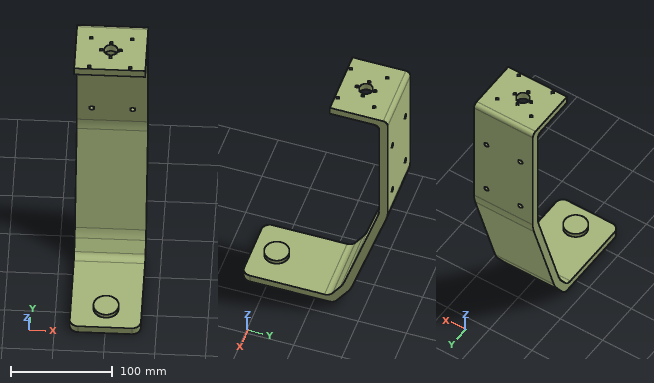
import cadquery as cq
import math

width = 70.0
height = 286.8
depth = 151.5
thickness = 9.0
top_reach = 60.0

knee_height = 148.5
ankle_height = 29.5
leg_angle = math.radians(17.5)
ramp_angle = math.radians(34)
top_outer_radius = 5.0
top_inner_radius = 5.5
leg_bend_radius = 38.7
foot_inner_radius = 10.0
foot_outer_radius = 10.0

foot_corner_radius = 8.5
boss_diameter = 25.0
boss_height = 4.5
boss_distance = 126.5

hole_half_spacing = 20.0
back_hole_diameter = 5.0
back_hole_heights = (236.5, 171.5)
top_hole_diameter = 3.0
top_hole_distances = (19.0, 56.5)
bore_diameter = 13.5
bore_distance = 34.0
bore_ring_radius = 9.5


def strap_corner_points(inset):
    """(Y, Z) bend corners of the strap face lying `inset` inside the outer face."""
    gap = thickness - inset
    knee_z = knee_height - gap * math.tan(leg_angle / 2)
    inner_run = (knee_height - ankle_height) * math.tan(leg_angle)
    mean_angle = (leg_angle + ramp_angle) / 2
    miter = gap / math.cos((ramp_angle - leg_angle) / 2)
    ankle_y = -thickness - inner_run + miter * math.cos(mean_angle)
    ankle_z = ankle_height - miter * math.sin(mean_angle)
    foot_z = inset
    foot_y = ankle_y - (ankle_z - foot_z) * math.tan(ramp_angle)
    return [(-inset, height - inset), (-inset, knee_z), (ankle_y, ankle_z), (foot_y, foot_z)]


def make_strap():
    outer = strap_corner_points(0)
    inner = strap_corner_points(thickness)
    outline = [(-top_reach, height), *outer, (-depth, 0)]
    outline += [(-depth, thickness), *reversed(inner), (-top_reach, height - thickness)]
    strap = cq.Workplane("YZ").polyline(outline).close().extrude(width / 2, both=True)

    outer_radii = (top_outer_radius, leg_bend_radius, leg_bend_radius, foot_outer_radius)
    inner_radii = (top_inner_radius, leg_bend_radius, leg_bend_radius, foot_inner_radius)
    for corners, radii in ((outer, outer_radii), (inner, inner_radii)):
        for (y, z), radius in zip(corners, radii):
            strap = strap.edges(cq.NearestToPointSelector((0, y, z))).fillet(radius)
    return strap.faces("<Y").edges("|Z").fillet(foot_corner_radius)


def make_boss():
    boss = cq.Workplane("XY").center(0, -boss_distance).circle(boss_diameter / 2)
    return boss.extrude(thickness + boss_height)


def back_hole_cutter():
    points = [(x, z) for x in (-hole_half_spacing, hole_half_spacing) for z in back_hole_heights]
    return cq.Workplane("XZ").pushPoints(points).circle(back_hole_diameter / 2).extrude(thickness)


def top_hole_cutter():
    plane = cq.Workplane("XY").workplane(offset=height - thickness)
    points = [(x, -y) for x in (-hole_half_spacing, hole_half_spacing) for y in top_hole_distances]
    corner_holes = plane.pushPoints(points).circle(top_hole_diameter / 2).extrude(thickness)
    bore_plane = plane.center(0, -bore_distance)
    bore = bore_plane.circle(bore_diameter / 2).extrude(thickness)
    ring = bore_plane.polarArray(bore_ring_radius, 0, 360, 4).circle(top_hole_diameter / 2).extrude(thickness)
    return corner_holes.union(bore).union(ring)


result = make_strap().union(make_boss()).cut(back_hole_cutter()).cut(top_hole_cutter())